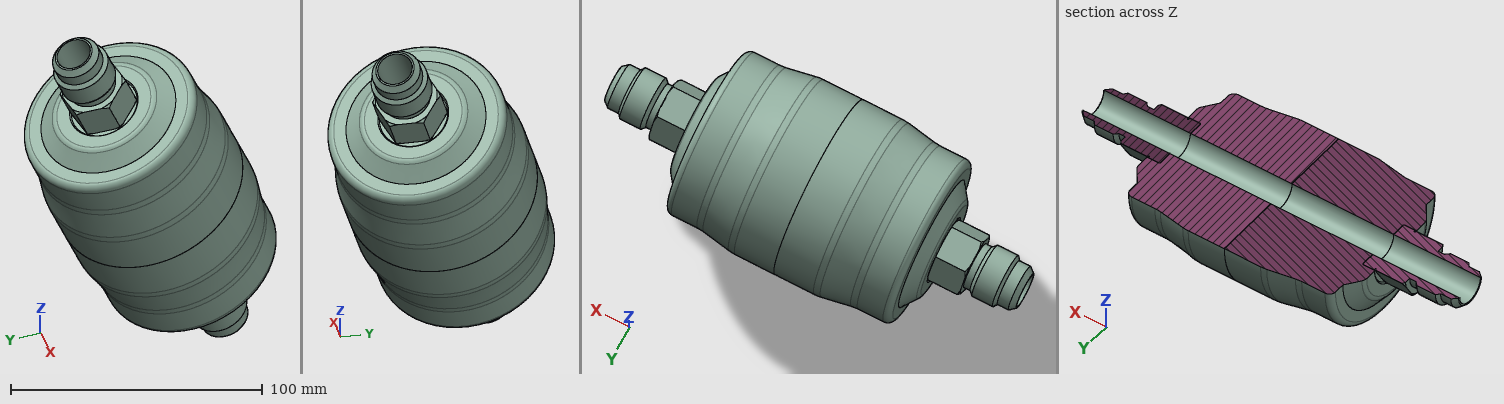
import cadquery as cq
import math


half_length = 92.2
bore_radius = 7.0

belly_diameter = 78.0
belly_radius = belly_diameter / 2
end_radius = 36.3
belly_corner = 19.2
end_corner = 34.5
taper_blend_radius = 16.6
shoulder_position = 50.3
shoulder_fillet = 3.0
dome_base_radius = 28.4
dome_top_radius = 21.0
dome_fillet = 3.7
face_position = 55.9
socket_chamfer = 0.5
hex_back = face_position - socket_chamfer

hex_across_flats = 24.0
hex_corner_radius = hex_across_flats / math.sqrt(3)
hex_front = 69.7
hex_chamfer_angle = 30.0
hex_front_chamfer_radius = 12.5
hex_back_chamfer_radius = 13.0
spigot_radius = hex_corner_radius
spigot_length = 5.5
spigot_end = hex_back - spigot_length
neck_radius = 9.8
neck_end = 72.7
thread_radius = 11.5
thread_back = 74.3
thread_front = 83.5
nose_back = 84.8
nose_front = 89.8
tip_radius = 7.7


def turned(outline):
    """Solid of revolution about X from (position, radius) points."""
    return cq.Workplane("XY").polyline(outline).close().revolve(360, (0, 0, 0), (1, 0, 0))


def ring_edge(body, position, radius):
    """The circular edge of the body with this position along X and this radius."""
    tolerance = 0.002
    return body.edges("%CIRCLE").filter(
        lambda edge: abs(edge.Center().x - position) < tolerance
        and abs(edge.radius() - radius) < tolerance
    )


def make_shell_half():
    body = turned([
        (0, bore_radius),
        (0, belly_radius),
        (belly_corner, belly_radius),
        (end_corner, end_radius),
        (shoulder_position, end_radius),
        (shoulder_position, dome_base_radius),
        (face_position, dome_top_radius),
        (face_position, spigot_radius + socket_chamfer),
        (hex_back, spigot_radius),
        (spigot_end, spigot_radius),
        (spigot_end, bore_radius),
    ])
    rounded_rings = [
        (belly_corner, belly_radius, taper_blend_radius),
        (end_corner, end_radius, taper_blend_radius),
        (shoulder_position, end_radius, shoulder_fillet),
        (face_position, dome_top_radius, dome_fillet),
    ]
    for position, radius, fillet in rounded_rings:
        body = ring_edge(body, position, radius).fillet(fillet)
    return body


def make_hexagon():
    """Hexagon with two flats facing up and down and its corners turned off at both ends."""
    hexagon = (
        cq.Workplane("YZ")
        .workplane(offset=hex_back)
        .polygon(6, 2 * hex_corner_radius)
        .extrude(hex_front - hex_back)
    )
    slope = math.tan(math.radians(hex_chamfer_angle))
    front_depth = (hex_corner_radius - hex_front_chamfer_radius) * slope
    back_depth = (hex_corner_radius - hex_back_chamfer_radius) * slope
    turned_blank = turned([
        (hex_back, 0),
        (hex_back, hex_back_chamfer_radius),
        (hex_back + back_depth, hex_corner_radius),
        (hex_front - front_depth, hex_corner_radius),
        (hex_front, hex_front_chamfer_radius),
        (hex_front, 0),
    ])
    return hexagon.intersect(turned_blank)


def make_fitting():
    threaded_end = turned([
        (hex_front, 0),
        (hex_front, neck_radius),
        (neck_end, neck_radius),
        (thread_back, thread_radius),
        (thread_front, thread_radius),
        (nose_back, neck_radius),
        (nose_front, neck_radius),
        (half_length, tip_radius),
        (half_length, 0),
    ])
    spigot = cq.Workplane("YZ").workplane(offset=spigot_end).circle(spigot_radius).extrude(spigot_length)
    bore = cq.Workplane("YZ").circle(bore_radius).extrude(half_length)
    return make_hexagon().union(threaded_end).union(spigot).cut(bore)


def on_both_sides(body):
    """Two separate copies of a body, one at each end of the part."""
    return [body.rotate((0, 0, 0), (0, 0, 1), angle).val() for angle in (0, 180)]


shell_halves = on_both_sides(make_shell_half())
fittings = on_both_sides(make_fitting())

result = cq.Compound.makeCompound([*shell_halves, *fittings])